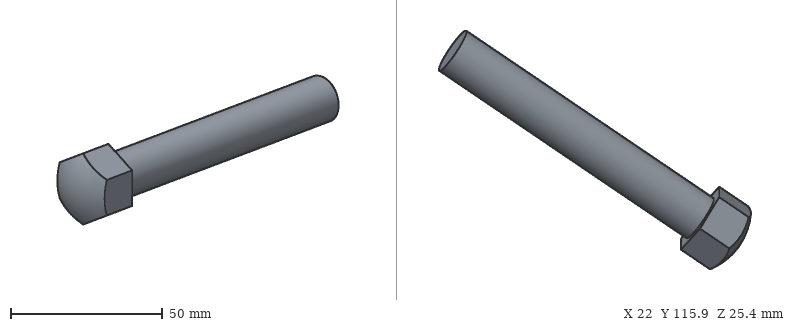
import cadquery as cq
import math

total_length = 115.9
shank_length = 100.0
shank_diameter = 16.0
across_flats = 22.0
dome_radius = 22.0

head_length = total_length - shank_length
across_corners = across_flats / math.cos(math.pi / 6)


def along_y(start):
    """Sketch plane at Y = start whose normal points toward +Y."""
    return cq.Workplane(cq.Plane(origin=(0, start, 0), xDir=(0, 0, 1), normal=(0, 1, 0)))


def domed_head():
    """Hexagon with corners at top and bottom, its outer end cut to a sphere."""
    hexagon = along_y(0).polygon(6, across_corners).extrude(head_length)
    dome = cq.Workplane("XY").sphere(dome_radius).translate((0, dome_radius, 0))
    return hexagon.intersect(dome)


def shank():
    """Plain round shank, from the flat back of the head to the free end."""
    return along_y(head_length).circle(shank_diameter / 2).extrude(shank_length)


result = domed_head().union(shank())